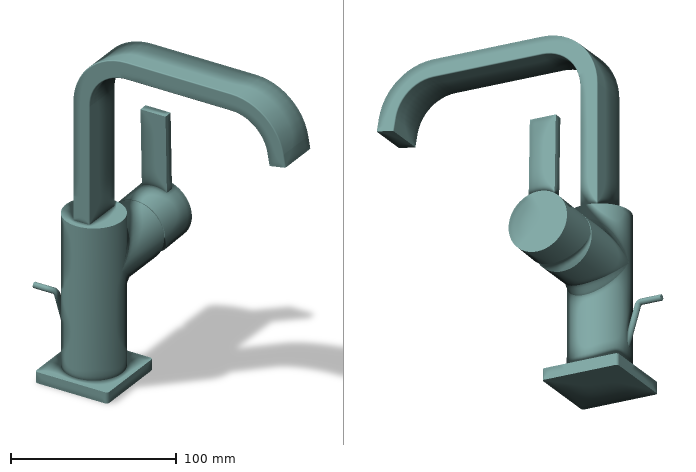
import cadquery as cq
import math

plate_side = 51.7
plate_height = 7.6
plate_corner_radius = 1.8
column_radius = 40.0 / 2
column_top = 112.0

neck_height = 77.8
neck_end = 48.0
tip_length = 10.5
neck_blend_leg = 4.9

total_height = 231.0
spout_width = 28.9
spout_thickness = 11.8
spout_outer_radius = 37.9
spout_bend_end = 106.3
spout_bend_angle = 80.0
spout_tail = 8.5
spout_edge_radius = 0.7

rod_radius = 4.0 / 2
rod_end = -42.3
rod_height = 50.4
rod_corner = -26.5
rod_slope = 73.0
rod_bend_radius = 2.8
rod_slope_length = 32.3

lever_tilt = 1.7
cap_gap = 1.2
cap_length = 30.5
cap_relief_length = 11.3
handle_width = 17.8
handle_thickness = 5.8
handle_setback = 4.5
handle_top = 148.8


def make_base():
    plate = (
        cq.Workplane("XY")
        .rect(plate_side, plate_side)
        .extrude(plate_height)
        .edges("|Z")
        .fillet(plate_corner_radius)
    )
    column = cq.Workplane("XY").circle(column_radius).extrude(column_top)
    return plate.union(column)


def make_neck():
    return (
        cq.Workplane("XZ", origin=(0, 0, neck_height))
        .circle(column_radius)
        .extrude(-neck_end)
    )


def make_tip():
    """45 degree cone frustum on the end of the neck."""
    return cq.Workplane("XY").add(
        cq.Solid.makeCone(
            column_radius,
            column_radius - tip_length,
            tip_length,
            pnt=cq.Vector(0, neck_end, neck_height),
            dir=cq.Vector(0, 1, 0),
        )
    )


def make_spout():
    centre_radius = spout_outer_radius - spout_thickness / 2
    bend_z = total_height - spout_outer_radius
    end_angle = math.radians(90 - spout_bend_angle)
    mid_angle = math.radians(90 - spout_bend_angle / 2)
    tail_x = spout_tail * math.sin(end_angle)
    tail_z = -spout_tail * math.cos(end_angle)

    def on_last_bend(angle):
        return (
            spout_bend_end + centre_radius * math.cos(angle),
            bend_z + centre_radius * math.sin(angle),
        )

    first_mid = centre_radius * math.sqrt(0.5)
    path = (
        cq.Workplane("XZ")
        .moveTo(0, column_top)
        .lineTo(0, bend_z)
        .threePointArc(
            (centre_radius - first_mid, bend_z + first_mid),
            (centre_radius, bend_z + centre_radius),
        )
        .lineTo(spout_bend_end, bend_z + centre_radius)
        .threePointArc(on_last_bend(mid_angle), on_last_bend(end_angle))
        .line(tail_x, tail_z)
    )
    section = cq.Sketch().rect(spout_thickness, spout_width).vertices().fillet(spout_edge_radius)
    return cq.Workplane("XY", origin=(0, 0, column_top)).placeSketch(section).sweep(path)


def make_rod():
    slope = math.radians(rod_slope)
    setback = rod_bend_radius * math.tan(slope / 2)
    bend_start = rod_corner - setback
    bend_z = rod_height - rod_bend_radius

    def on_bend(angle):
        return (
            bend_start + rod_bend_radius * math.sin(angle),
            bend_z + rod_bend_radius * math.cos(angle),
        )

    path = (
        cq.Workplane("XZ")
        .moveTo(rod_end, rod_height)
        .lineTo(bend_start, rod_height)
        .threePointArc(on_bend(slope / 2), on_bend(slope))
        .line(rod_slope_length * math.cos(slope), -rod_slope_length * math.sin(slope))
    )
    return cq.Workplane("YZ", origin=(rod_end, 0, rod_height)).circle(rod_radius).sweep(path)


def make_upper_blend():
    """Bevel above the neck, tapering to nothing where neck and column meet at the sides.

    It is a 45 degree elliptic cylinder, kept between two planes through the crossing of the axes.
    """
    blend_reach = column_radius + neck_blend_leg
    ellipse_height = (column_radius + blend_reach) * math.sqrt(0.5)
    crossing = cq.Vector(0, 0, neck_height)
    slanted = cq.Plane(origin=crossing, xDir=(1, 0, 0), normal=(0, 1, -1))
    cylinder = (
        cq.Workplane(slanted)
        .ellipse(column_radius, ellipse_height)
        .extrude(column_radius, both=True)
    )
    wedge = (
        cq.Workplane("YZ", origin=crossing)
        .moveTo(0, 0)
        .lineTo(2 * blend_reach, 2 * column_radius)
        .lineTo(2 * column_radius, 2 * blend_reach)
        .close()
        .extrude(column_radius, both=True)
    )
    return cylinder.intersect(wedge)


def make_housing():
    body = make_base().union(make_neck())
    upper_blend = make_upper_blend()
    lower_blend = upper_blend.mirror("XY", (0, 0, neck_height))
    body = body.union(upper_blend).union(lower_blend)
    return body.union(make_tip()).union(make_spout()).union(make_rod())


def make_lever():
    cap_start = neck_end + cap_gap
    cap_end = cap_start + cap_length
    cap = (
        cq.Workplane("XZ", origin=(0, cap_start, neck_height))
        .circle(column_radius)
        .extrude(-cap_length)
    )
    relief = (
        cq.Workplane("YZ")
        .moveTo(cap_start, neck_height)
        .lineTo(cap_start, neck_height - column_radius)
        .lineTo(cap_start + cap_relief_length, neck_height - column_radius)
        .close()
        .extrude(column_radius, both=True)
    )
    handle = (
        cq.Workplane("XY", origin=(0, cap_end - handle_setback - handle_thickness / 2, neck_height))
        .rect(handle_width, handle_thickness)
        .extrude(handle_top - neck_height)
    )
    lever = cap.cut(relief).union(handle)
    pivot = (0, neck_end, neck_height)
    lever = lever.rotate(pivot, (1, neck_end, neck_height), lever_tilt)
    return lever.cut(make_tip())


housing = make_housing()
lever = make_lever()
result = cq.Compound.makeCompound([housing.val(), lever.val()])